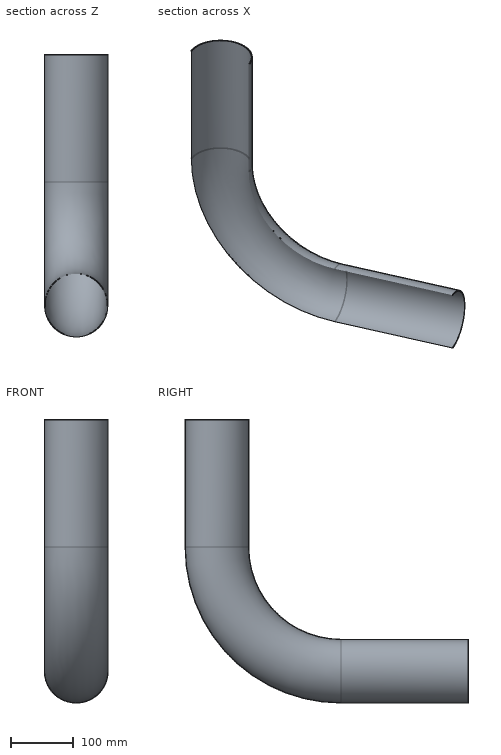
import cadquery as cq

overall_size = 451.0
outer_diameter = 101.5
inner_diameter = 98.5
leg_length = 203.0

bend_radius = overall_size - leg_length - outer_diameter / 2


def straight_leg(plane):
    """Straight pipe running from the plane along its normal."""
    return (
        cq.Workplane(plane)
        .circle(outer_diameter / 2)
        .circle(inner_diameter / 2)
        .extrude(leg_length)
    )


def quarter_bend():
    """Quarter-turn pipe from the upright leg round to the level leg."""
    return (
        cq.Workplane("XY")
        .circle(outer_diameter / 2)
        .circle(inner_diameter / 2)
        .revolve(90, (0, bend_radius, 0), (1, bend_radius, 0))
    )


upright_leg = straight_leg(cq.Plane.XY())

bend_end = (0, bend_radius, -bend_radius)
level_leg = straight_leg(cq.Plane(origin=bend_end, xDir=(1, 0, 0), normal=(0, 1, 0)))

result = upright_leg.union(quarter_bend()).union(level_leg)